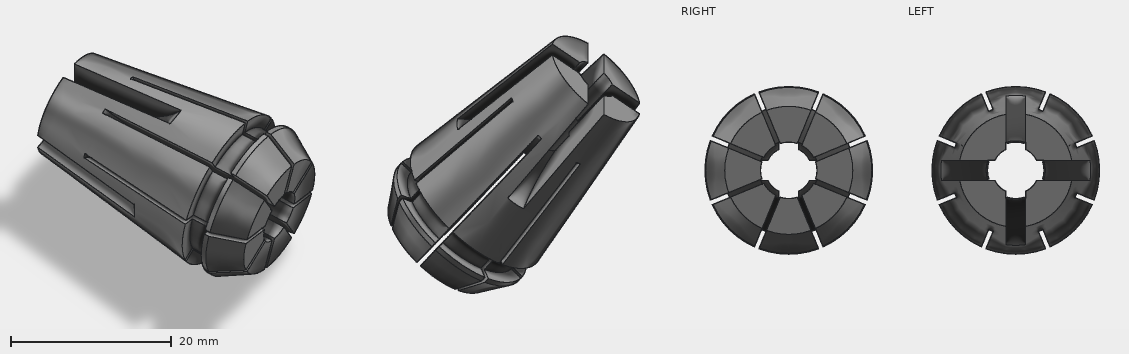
import cadquery as cq
import math

LENGTH = 31.5

TAPER_DIAMETER = 20.9
TAPER_ANGLE = 8.0
GROOVE_START = 23.95
GROOVE_END = 26.7
GROOVE_RADIUS = 8.7
COLLAR_RADIUS = 10.33
COLLAR_END = 27.4
NOSE_ANGLE = 30.0

BORE_RADIUS = 3.5
RELIEF_RADIUS = 3.7
RELIEF_END = 15.75
ENTRY_RADIUS = 2.87
ENTRY_DEPTH = 6.93

CUTTER_RADIUS = 15.45
CUTTER_OFFSET = 17.25
SLOT_WIDTH = 2.5
SLOT_CUTTER_X = 2.8
SLOT_COUNT = 4
SLIT_WIDTH = 0.6
SLIT_CUTTER_X = 19.75
SLIT_COUNT = 8
SLIT_START_ANGLE = 22.5


def make_body():
    """Revolved double cone with a groove and a cylindrical collar."""
    large_radius = TAPER_DIAMETER / 2
    small_radius = large_radius - GROOVE_START * math.tan(math.radians(TAPER_ANGLE))
    nose_radius = COLLAR_RADIUS - (LENGTH - COLLAR_END) * math.tan(math.radians(NOSE_ANGLE))
    profile = [
        (0, 0),
        (0, small_radius),
        (GROOVE_START, large_radius),
        (GROOVE_START, GROOVE_RADIUS),
        (GROOVE_END, GROOVE_RADIUS),
        (GROOVE_END, COLLAR_RADIUS),
        (COLLAR_END, COLLAR_RADIUS),
        (LENGTH, nose_radius),
        (LENGTH, 0),
    ]
    return cq.Workplane("XZ").polyline(profile).close().revolve(360, (0, 0), (1, 0))


def bore_section(radius, start, end):
    """Cylinder on the collet axis between two X positions."""
    return cq.Workplane("YZ", origin=(start, 0, 0)).circle(radius).extrude(end - start)


def make_hole():
    """Narrow entry hole at the jaw end, then the relief, then the clamping bore."""
    entry = bore_section(ENTRY_RADIUS, 0, ENTRY_DEPTH)
    relief = bore_section(RELIEF_RADIUS, ENTRY_DEPTH, RELIEF_END)
    bore = bore_section(BORE_RADIUS, RELIEF_END, LENGTH)
    return entry.union(relief).union(bore)


def saw_cut(width, cutter_x, open_end, angle):
    """Cut made by the disc cutter travelling from its centre position to open_end."""
    travel = open_end - cutter_x
    disc = (
        cq.Workplane("XZ", origin=(cutter_x, 0, CUTTER_OFFSET))
        .circle(CUTTER_RADIUS)
        .extrude(width / 2, both=True)
    )
    run_out = cq.Workplane("XY").box(abs(travel), width, 2 * CUTTER_RADIUS)
    run_out = run_out.translate((cutter_x + travel / 2, 0, CUTTER_OFFSET))
    return disc.union(run_out).rotate((0, 0, 0), (1, 0, 0), angle)


result = make_body().cut(make_hole())

for index in range(SLOT_COUNT):
    slot_angle = index * 360 / SLOT_COUNT
    result = result.cut(saw_cut(SLOT_WIDTH, SLOT_CUTTER_X, 0, slot_angle))

for index in range(SLIT_COUNT):
    slit_angle = SLIT_START_ANGLE + index * 360 / SLIT_COUNT
    result = result.cut(saw_cut(SLIT_WIDTH, SLIT_CUTTER_X, LENGTH, slit_angle))